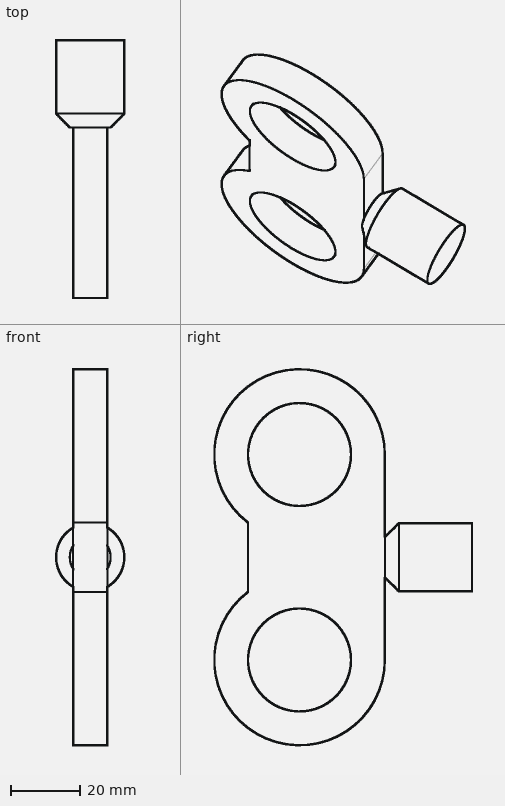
import cadquery as cq

total_height = 108.6
ring_diameter = 49.3
hole_diameter = 29.6
plate_thickness = 9.9
web_width = 39.5

stem_diameter = 19.8
stem_tip_diameter = 11.8
stem_length = 25.2
taper_length = 4.0

ring_radius = ring_diameter / 2
ring_spacing = total_height - ring_diameter
ring_heights = (-ring_spacing / 2, ring_spacing / 2)
back_y = ring_radius


def disc(diameter, height):
    """Disc of plate thickness with its axis along X, at the given Z."""
    return (
        cq.Workplane("YZ", origin=(-plate_thickness / 2, 0, 0))
        .center(0, height)
        .circle(diameter / 2)
        .extrude(plate_thickness)
    )


def make_plate():
    """Two rings joined by a web flush with their back tangent line."""
    plate = cq.Workplane("XY").box(plate_thickness, web_width, ring_spacing)
    plate = plate.translate((0, back_y - web_width / 2, 0))
    for height in ring_heights:
        plate = plate.union(disc(ring_diameter, height))
    for height in ring_heights:
        plate = plate.cut(disc(hole_diameter, height))
    return plate


def make_stem():
    """Round stem along Y, tapering down to where it meets the plate."""
    stem_radius = stem_diameter / 2
    end_y = back_y + stem_length
    return (
        cq.Workplane("XY")
        .moveTo(0, back_y)
        .lineTo(stem_tip_diameter / 2, back_y)
        .lineTo(stem_radius, back_y + taper_length)
        .lineTo(stem_radius, end_y)
        .lineTo(0, end_y)
        .close()
        .revolve(360, (0, 0, 0), (0, 1, 0))
    )


result = make_plate().union(make_stem())